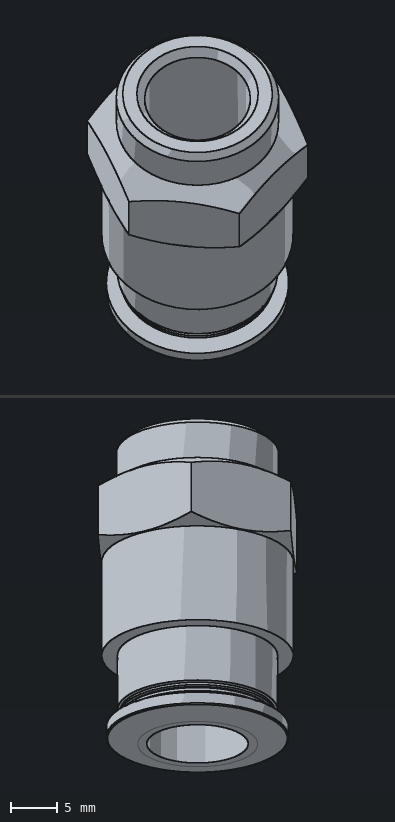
import cadquery as cq
import math

total_height = 34.8
flange_cone_top = 0.63
flange_rim_bottom = 0.75
flange_top = 2.02
neck_step = 2.35
ring_bottom = 2.82
ring_top = 3.15
groove_top = 3.4
band_bottom = 3.5
band_top = 3.8
body_bottom = 3.93
shoulder = 10.3
hex_bottom = 21.3
hex_top = 29.95

flange_diameter = 19.8
flange_rim_diameter = 19.52
flange_face_diameter = 13.0
neck_diameter = 13.4
neck_lip_diameter = 13.5
ring_diameter = 16.8
groove_diameter = 16.2
lower_body_diameter = 17.4
main_body_diameter = 20.8
collar_diameter = 17.6
collar_chamfer = 0.7

hex_across_flats = 21.0
hex_across_corners = hex_across_flats / math.cos(math.radians(30))
hex_chamfer_angle = 30.0
envelope_margin = 0.35

sleeve_bore_diameter = 11.0
upper_bore_diameter = 11.45
bore_mouth_diameter = 13.15
bore_chamfer = (bore_mouth_diameter - upper_bore_diameter) / 2


def revolved(diameters_and_levels):
    """Solid of revolution about Z from an outline of (diameter, z) points."""
    outline = [(diameter / 2, z) for diameter, z in diameters_and_levels]
    bottom = outline[0][1]
    top = outline[-1][1]
    points = [(0, bottom)] + outline + [(0, top)]
    return cq.Workplane("XZ").polyline(points).close().revolve(360, (0, 0, 0), (0, 1, 0))


def make_turned_body():
    """Flanged sleeve, grooved lower end, main body and chamfered collar."""
    return revolved([
        (flange_face_diameter, 0),
        (flange_rim_diameter, flange_cone_top),
        (flange_diameter, flange_rim_bottom),
        (flange_diameter, flange_top),
        (neck_lip_diameter, flange_top),
        (neck_lip_diameter, neck_step),
        (neck_diameter, neck_step),
        (neck_diameter, ring_bottom),
        (ring_diameter, ring_bottom),
        (ring_diameter, ring_top),
        (groove_diameter, ring_top),
        (groove_diameter, groove_top),
        (ring_diameter, band_bottom),
        (ring_diameter, band_top),
        (lower_body_diameter, body_bottom),
        (lower_body_diameter, shoulder),
        (main_body_diameter, shoulder),
        (main_body_diameter, hex_bottom),
        (collar_diameter, hex_bottom),
        (collar_diameter, total_height - collar_chamfer),
        (collar_diameter - 2 * collar_chamfer, total_height),
    ])


def make_hexagon():
    """Hexagonal wrench section whose corners are cut by a cone at each end."""
    slope = math.tan(math.radians(hex_chamfer_angle))
    envelope_diameter = hex_across_corners + envelope_margin
    lower_rise = (envelope_diameter - main_body_diameter) / 2 * slope
    upper_drop = (envelope_diameter - collar_diameter) / 2 * slope
    prism = (
        cq.Workplane("XY")
        .workplane(offset=hex_bottom)
        .polygon(6, hex_across_corners)
        .extrude(hex_top - hex_bottom)
    )
    envelope = revolved([
        (main_body_diameter, hex_bottom),
        (envelope_diameter, hex_bottom + lower_rise),
        (envelope_diameter, hex_top - upper_drop),
        (collar_diameter, hex_top),
    ])
    return prism.intersect(envelope)


def make_bore():
    """Stepped through bore with a chamfered upper mouth."""
    return revolved([
        (sleeve_bore_diameter, 0),
        (sleeve_bore_diameter, shoulder),
        (upper_bore_diameter, shoulder),
        (upper_bore_diameter, total_height - bore_chamfer),
        (bore_mouth_diameter, total_height),
    ])


result = make_turned_body().union(make_hexagon()).cut(make_bore())